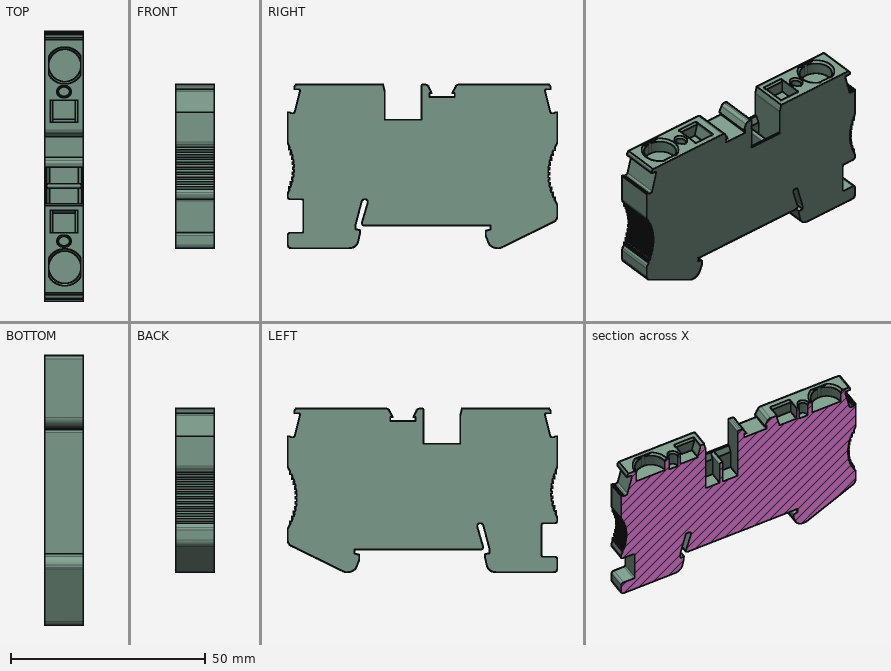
import cadquery as cq
import math

WIDTH = 10.0
LENGTH = 69.5
HEIGHT = 42.2
END = LENGTH / 2

LEDGE_TOP = 35.1
LEDGE_STEP = 34.8
LIP_UNDERSIDE = 40.95
LIP_Y = 33.1

MARKER_FLOOR = 39.0
MARKER_CATCH = 39.95
MARKER_BACK = 8.3
MARKER_FRONT = 1.8

RAIL_SEAT = 5.85
HOOK_ROOT = 17.5
HOOK_TIP = 16.25
CLIP_ROOT = -17.25
CLIP_TIP = -16.05
SLIT_TOP = 12.6
RECESS_TOP = 12.6
RECESS_BOTTOM = 4.0
RECESS_WALL = -30.7

GRIP_TOP = 27.05
BACK_GRIP_BOTTOM = 11.3
FRONT_GRIP_BOTTOM = 14.2
BACK_GRIP_RADIUS = 14.25
FRONT_GRIP_RADIUS = 13.55
GRIP_SHOULDER_RADIUS = 1.4
RIB_WIDTH = 0.55
RIB_HEIGHT = 0.35
RIB_ROOT = 0.35
BACK_RIBS = 11
BACK_RIB_SPAN = 12.65
FRONT_RIBS = 9
FRONT_RIB_SPAN = 10.15

GAP_FLOOR = 33.15
GAP_BACK = -0.3
GAP_FRONT = -9.65

WINDOW_TOP_WIDTH = 9.05
WINDOW_WIDTH = 7.2
WINDOW_FLARE_DEPTH = 1.6
WINDOW_DEPTH = 6.95
DIVIDER_THICKNESS = 1.1
DIVIDER_Y = -5.1
DIVIDER_TOP = GAP_FLOOR

WIRE_X = 0.2
WIRE_Y = 26.0
WIRE_DIAMETER = 8.35
WIRE_RIM_DIAMETER = 9.5
WIRE_FLAT_WIDTH = 8.3
WIRE_RIM_HEIGHT = 0.6
WIRE_DEPTH = 3.8
TEST_Y = 19.25
TEST_WIDTH = 2.9
TEST_LENGTH = 2.4
TEST_RIM_WIDTH = 3.7
TEST_RIM_LENGTH = 3.1
TEST_RIM_HEIGHT = 0.6
TEST_DEPTH = 4.2
POCKET_OUTER_Y = 17.1
POCKET_INNER_Y = 11.3
POCKET_FLOOR_INNER_Y = 12.1
POCKET_WIDTH = 5.9
POCKET_RIM_CHAMFER = 0.55
POCKET_SLOPE_BOTTOM = 3.5
POCKET_DEPTH = 3.8


def rounded_outline(corners):
    """Closed wire on the YZ plane through (y, z, corner radius) points."""
    count = len(corners)
    outline = None
    for i, (y, z, radius) in enumerate(corners):
        corner = cq.Vector(y, z)
        before = cq.Vector(*corners[i - 1][:2]) - corner
        after = cq.Vector(*corners[(i + 1) % count][:2]) - corner
        half_angle = before.getAngle(after) / 2
        setback = radius / math.tan(half_angle)
        start = corner + before.normalized() * setback
        stop = corner + after.normalized() * setback
        bisector = (before.normalized() + after.normalized()).normalized()
        middle = corner + bisector * (radius / math.sin(half_angle) - radius)
        if outline is None:
            outline = cq.Workplane("YZ").moveTo(start.x, start.y)
        else:
            outline = outline.lineTo(start.x, start.y)
        if radius > 0:
            outline = outline.threePointArc((middle.x, middle.y), (stop.x, stop.y))
    return outline.close()


def tower_end_corners():
    """Ledge, leaning wall and lip at the back end, from the ledge upward."""
    return [
        (END, LEDGE_TOP, 0),
        (34.25, LEDGE_TOP, 0),
        (33.9, LEDGE_STEP, 0),
        (33.0, LEDGE_STEP, 0.5),
        (31.5, LIP_UNDERSIDE, 0.35),
        (LIP_Y, LIP_UNDERSIDE, 0.2),
        (LIP_Y, 41.55, 0.55),
        (32.6, HEIGHT, 0),
    ]


def make_body():
    """Block extruded across its width from the side outline."""
    back_end = tower_end_corners()
    front_end = [(-y, z, radius) for y, z, radius in reversed(back_end)]
    marker_channel = [
        (8.8, HEIGHT, 0.9),
        (7.65, MARKER_CATCH, 0),
        (MARKER_BACK, MARKER_CATCH, 0),
        (MARKER_BACK, MARKER_FLOOR, 0),
        (MARKER_FRONT, MARKER_FLOOR, 0),
        (MARKER_FRONT, MARKER_CATCH, 0),
        (2.35, MARKER_CATCH, 0),
        (1.3, HEIGHT, 1.05),
    ]
    gap = [
        (GAP_BACK, HEIGHT, 0.4),
        (GAP_BACK, GAP_FLOOR, 0),
        (GAP_FRONT, GAP_FLOOR, 0),
        (GAP_FRONT, 40.25, 0.7),
        (-10.15, HEIGHT, 0),
    ]
    front_recess = [
        (-END, RECESS_TOP, 0.7),
        (RECESS_WALL, RECESS_TOP, 0.35),
        (RECESS_WALL, RECESS_BOTTOM, 0.35),
        (-END, RECESS_BOTTOM, 0.7),
        (-END, 0, 0.9),
    ]
    spring_clip = [
        (-16.95, 0, 2.3),
        (CLIP_TIP, 3.9, 0.55),
        (CLIP_TIP, 4.65, 0),
        (CLIP_ROOT, 4.9, 0),
        (CLIP_ROOT, 6.0, 0.2),
        (-15.5, SLIT_TOP, 0.6),
        (-13.9, SLIT_TOP, 0.6),
        (-15.85, RAIL_SEAT, 0.6),
    ]
    rail_hook = [
        (HOOK_ROOT, RAIL_SEAT, 0),
        (HOOK_ROOT, 4.85, 0),
        (HOOK_TIP, 4.5, 0.3),
        (HOOK_TIP, 3.2, 0.4),
        (17.5, 0, 2.4),
        (20.0, 0, 0.7),
        (END, 7.2, 1.75),
    ]
    corners = back_end + marker_channel + gap + front_end + front_recess + spring_clip + rail_hook
    return rounded_outline(corners).extrude(WIDTH / 2, both=True)


def add_grip(body, side, bottom, radius, rib_count, rib_span):
    """Hollow out one end with an arc, round its shoulders and set evenly stepped ribs along it."""
    half_chord = (GRIP_TOP - bottom) / 2
    centre_z = (GRIP_TOP + bottom) / 2
    centre_y = END + math.sqrt(radius**2 - half_chord**2)
    hollow = (
        cq.Workplane("YZ")
        .center(side * centre_y, centre_z)
        .circle(radius)
        .extrude(WIDTH / 2, both=True)
    )
    body = body.cut(hollow)
    for shoulder_z in (GRIP_TOP, bottom):
        shoulder = cq.selectors.NearestToPointSelector((0, side * END, shoulder_z))
        body = body.edges("|X").edges(shoulder).fillet(GRIP_SHOULDER_RADIUS)
    for i in range(rib_count):
        rise = (i / (rib_count - 1) - 0.5) * rib_span
        arc_y = centre_y - math.sqrt(radius**2 - rise**2)
        rib_y = arc_y + (RIB_HEIGHT - RIB_ROOT) / 2
        rib = cq.Workplane("XY").box(WIDTH, RIB_HEIGHT + RIB_ROOT, RIB_WIDTH)
        body = body.union(rib.translate((0, side * rib_y, centre_z + rise)))
    return body


def make_window():
    """Pit with flared sides below the gap floor, less the divider that splits it."""
    half_top = WINDOW_TOP_WIDTH / 2
    half_width = WINDOW_WIDTH / 2
    flare_bottom = GAP_FLOOR - WINDOW_FLARE_DEPTH
    window_floor = GAP_FLOOR - WINDOW_DEPTH
    pit = (
        cq.Workplane("XZ", origin=(0, GAP_BACK, 0))
        .moveTo(-half_top, GAP_FLOOR)
        .lineTo(half_top, GAP_FLOOR)
        .lineTo(half_width, flare_bottom)
        .lineTo(half_width, window_floor)
        .lineTo(-half_width, window_floor)
        .lineTo(-half_width, flare_bottom)
        .close()
        .extrude(GAP_BACK - GAP_FRONT)
    )
    divider_back = DIVIDER_Y + DIVIDER_THICKNESS / 2
    divider_front = DIVIDER_Y - DIVIDER_THICKNESS / 2
    shoulder_z = DIVIDER_TOP - DIVIDER_THICKNESS / 2
    divider = (
        cq.Workplane("YZ")
        .moveTo(divider_front, window_floor)
        .lineTo(divider_front, shoulder_z)
        .threePointArc((DIVIDER_Y, DIVIDER_TOP), (divider_back, shoulder_z))
        .lineTo(divider_back, window_floor)
        .close()
        .extrude(WIDTH / 2, both=True)
    )
    return pit.cut(divider)


def make_wire_entry():
    """Countersunk round hole flattened on both sides of the block."""
    half_section = (
        cq.Workplane("XZ")
        .lineTo(WIRE_RIM_DIAMETER / 2, 0)
        .lineTo(WIRE_DIAMETER / 2, -WIRE_RIM_HEIGHT)
        .lineTo(WIRE_DIAMETER / 2, -WIRE_DEPTH)
        .lineTo(0, -WIRE_DEPTH)
        .close()
    )
    hole = half_section.revolve(360, (0, 0, 0), (0, 1, 0))
    flats = cq.Workplane("XY").box(WIRE_FLAT_WIDTH, WIRE_RIM_DIAMETER, 2 * WIRE_DEPTH)
    return hole.intersect(flats).translate((WIRE_X, WIRE_Y, HEIGHT))


def make_test_hole():
    """Elliptical blind hole with a flared rim."""
    shaft = (
        cq.Workplane("XY")
        .ellipse(TEST_WIDTH / 2, TEST_LENGTH / 2)
        .extrude(-TEST_DEPTH)
    )
    rim = (
        cq.Workplane("XY")
        .ellipse(TEST_RIM_WIDTH / 2, TEST_RIM_LENGTH / 2)
        .workplane(offset=-TEST_RIM_HEIGHT)
        .ellipse(TEST_WIDTH / 2, TEST_LENGTH / 2)
        .loft()
    )
    return shaft.union(rim).translate((0, TEST_Y, HEIGHT))


def make_pocket():
    """Rectangular pocket with one sloping wall and bevelled side rims."""
    pit = (
        cq.Workplane("YZ")
        .moveTo(POCKET_OUTER_Y, HEIGHT)
        .lineTo(POCKET_INNER_Y, HEIGHT)
        .lineTo(POCKET_INNER_Y, HEIGHT - POCKET_RIM_CHAMFER)
        .lineTo(POCKET_FLOOR_INNER_Y, HEIGHT - POCKET_SLOPE_BOTTOM)
        .lineTo(POCKET_FLOOR_INNER_Y, HEIGHT - POCKET_DEPTH)
        .lineTo(POCKET_OUTER_Y, HEIGHT - POCKET_DEPTH)
        .close()
        .extrude(POCKET_WIDTH / 2, both=True)
    )
    half_width = POCKET_WIDTH / 2
    half_rim = half_width + POCKET_RIM_CHAMFER
    rim = (
        cq.Workplane("XZ", origin=(0, POCKET_OUTER_Y, 0))
        .moveTo(-half_rim, HEIGHT)
        .lineTo(half_rim, HEIGHT)
        .lineTo(half_width, HEIGHT - POCKET_RIM_CHAMFER)
        .lineTo(-half_width, HEIGHT - POCKET_RIM_CHAMFER)
        .close()
        .extrude(POCKET_OUTER_Y - POCKET_INNER_Y)
    )
    return pit.union(rim)


result = make_body()
result = add_grip(result, 1, BACK_GRIP_BOTTOM, BACK_GRIP_RADIUS, BACK_RIBS, BACK_RIB_SPAN)
result = add_grip(result, -1, FRONT_GRIP_BOTTOM, FRONT_GRIP_RADIUS, FRONT_RIBS, FRONT_RIB_SPAN)
result = result.cut(make_window())
for opening in (make_wire_entry(), make_test_hole(), make_pocket()):
    result = result.cut(opening).cut(opening.mirror("XZ"))